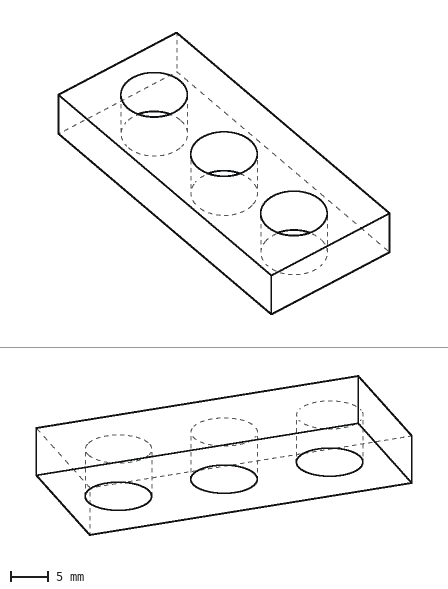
import cadquery as cq

length = 45.95
width = 20.1
thickness = 7.0

hole_diameter = 8.85
hole_pitch = 15.1
hole_centers = [(step * hole_pitch, 0) for step in (-1, 0, 1)]

plate = cq.Workplane("XY").box(length, width, thickness)

result = plate.faces(">Z").workplane().pushPoints(hole_centers).hole(hole_diameter)